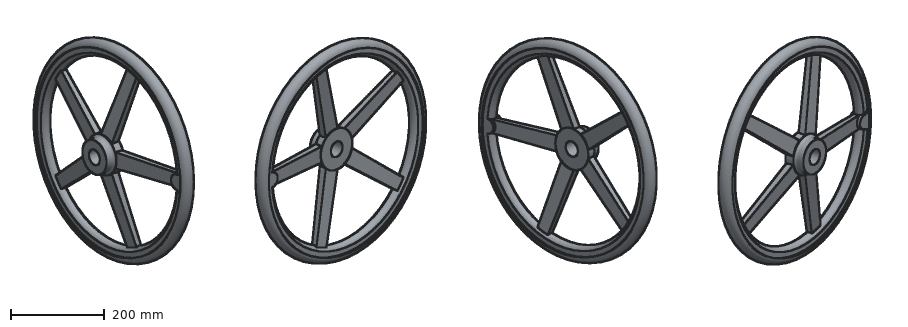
import cadquery as cq
import math

wheel_radius = 250.0
rim_half_depth = 17.0
rim_inner_radius = 210.5
rim_flat_inner_radius = 220.0
rim_grip_radius = wheel_radius - rim_half_depth
rim_step = 4.0
rim_flat_y = -(rim_half_depth - rim_step)

hub_front_y = -55.0
hub_back_y = -12.5
hub_nose_radius = 39.0
hub_fillet = 7.0
hub_shoulder_y = -33.5
hub_body_radius = hub_nose_radius + hub_fillet
hub_back_radius = 47.5
bore_radius = 17.5

spoke_count = 5
spoke_end_radius = rim_flat_inner_radius
spoke_root_width = 39.0
spoke_end_width = 31.5
spoke_front_root_y = -39.5
spoke_front_end_y = -5.0
spoke_back_root_y = -19.5
spoke_back_end_y = 8.5

boss_center_x = 220.0
boss_radius = 17.5
boss_blend_radius = 11.0
boss_face_lift = 3.0


def revolve_about_y(profile):
    return profile.close().revolve(360, (0, 0, 0), (0, 1, 0))


def make_rim():
    inner_mid = (rim_inner_radius, 0)
    profile = (
        cq.Workplane("XY")
        .moveTo(rim_grip_radius, -rim_half_depth)
        .threePointArc((wheel_radius, 0), (rim_grip_radius, rim_half_depth))
        .lineTo(rim_grip_radius, -rim_flat_y)
        .lineTo(rim_flat_inner_radius, -rim_flat_y)
        .threePointArc(inner_mid, (rim_flat_inner_radius, rim_flat_y))
        .lineTo(rim_grip_radius, rim_flat_y)
    )
    return revolve_about_y(profile)


def make_hub():
    fillet_start_y = hub_shoulder_y - hub_fillet
    fillet_middle = (
        hub_body_radius - hub_fillet * math.sqrt(0.5),
        fillet_start_y + hub_fillet * math.sqrt(0.5),
    )
    profile = (
        cq.Workplane("XY")
        .moveTo(0, hub_front_y)
        .lineTo(hub_nose_radius, hub_front_y)
        .lineTo(hub_nose_radius, fillet_start_y)
        .threePointArc(fillet_middle, (hub_body_radius, hub_shoulder_y))
        .lineTo(hub_back_radius, hub_back_y)
        .lineTo(0, hub_back_y)
    )
    return revolve_about_y(profile)


def make_spoke():
    """Spoke along +X, tapered in both width and depth."""
    side = (
        cq.Workplane("XY")
        .moveTo(0, spoke_front_root_y)
        .lineTo(spoke_end_radius, spoke_front_end_y)
        .lineTo(spoke_end_radius, spoke_back_end_y)
        .lineTo(0, spoke_back_root_y)
        .close()
        .extrude(spoke_root_width / 2, both=True)
    )
    plan = (
        cq.Workplane("XZ", origin=(0, spoke_back_end_y, 0))
        .moveTo(0, -spoke_root_width / 2)
        .lineTo(spoke_end_radius, -spoke_end_width / 2)
        .lineTo(spoke_end_radius, spoke_end_width / 2)
        .lineTo(0, spoke_root_width / 2)
        .close()
        .extrude(spoke_back_end_y - spoke_front_root_y)
    )
    return side.intersect(plan)


def make_handle_boss():
    """Round boss that flares into the step of the rim with concave blends."""
    blend_distance = boss_radius + boss_blend_radius
    step_distance = rim_grip_radius - boss_blend_radius
    blend_x = (step_distance**2 - blend_distance**2 + boss_center_x**2) / (2 * boss_center_x)
    blend_z = math.sqrt(step_distance**2 - blend_x**2)

    touch_share = boss_radius / blend_distance
    touch_x = boss_center_x + (blend_x - boss_center_x) * touch_share
    touch_z = blend_z * touch_share
    step_x = blend_x * rim_grip_radius / step_distance
    step_z = blend_z * rim_grip_radius / step_distance

    toward_x = (touch_x + step_x) / 2 - blend_x
    toward_z = (touch_z + step_z) / 2 - blend_z
    toward_length = math.hypot(toward_x, toward_z)
    middle_x = blend_x + boss_blend_radius * toward_x / toward_length
    middle_z = blend_z + boss_blend_radius * toward_z / toward_length

    outline = (
        cq.Workplane("XZ", origin=(0, -rim_flat_y, 0))
        .moveTo(touch_x, touch_z)
        .threePointArc((boss_center_x - boss_radius, 0), (touch_x, -touch_z))
        .threePointArc((middle_x, -middle_z), (step_x, -step_z))
        .threePointArc((rim_grip_radius, 0), (step_x, step_z))
        .threePointArc((middle_x, middle_z), (touch_x, touch_z))
        .close()
    )
    return outline.extrude(-2 * rim_flat_y + boss_face_lift)


wheel = make_rim().union(make_hub())
for index in range(spoke_count):
    angle = index * 360 / spoke_count
    wheel = wheel.union(make_spoke().rotate((0, 0, 0), (0, 1, 0), angle))
wheel = wheel.union(make_handle_boss())

bore = cq.Workplane("XZ", origin=(0, hub_back_y, 0)).circle(bore_radius).extrude(hub_back_y - hub_front_y)
result = wheel.cut(bore)